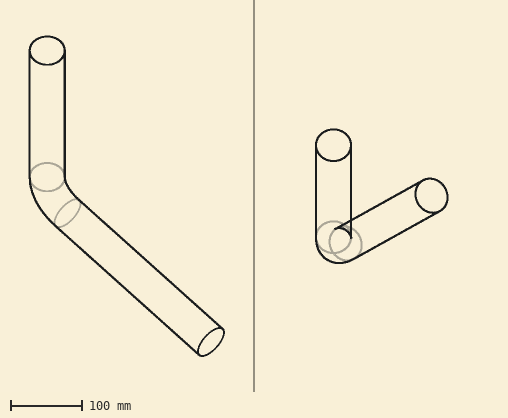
import cadquery as cq
import math

overall_height = 602.0
outer_diameter = 50.5
inner_diameter = 47.5
leg_length = 300.0
bend_angle = 45.0

outer_radius = outer_diameter / 2
sin_bend = math.sin(math.radians(bend_angle))
cos_bend = math.cos(math.radians(bend_angle))
bend_radius = (overall_height - leg_length - (leg_length * cos_bend)) / sin_bend - outer_radius


def bend_point(angle):
    """Point on the centreline arc, in XZ, after turning by angle degrees."""
    turn = math.radians(angle)
    return (bend_radius * (1 - math.cos(turn)), -bend_radius * math.sin(turn))


bend_end = bend_point(bend_angle)
lower_end = (bend_end[0] + leg_length * sin_bend, bend_end[1] - leg_length * cos_bend)

centreline = (
    cq.Workplane("XZ")
    .moveTo(0, leg_length)
    .lineTo(0, 0)
    .threePointArc(bend_point(bend_angle / 2), bend_end)
    .lineTo(*lower_end)
)

result = (
    cq.Workplane("XY", origin=(0, 0, leg_length))
    .circle(outer_radius)
    .circle(inner_diameter / 2)
    .sweep(centreline)
)